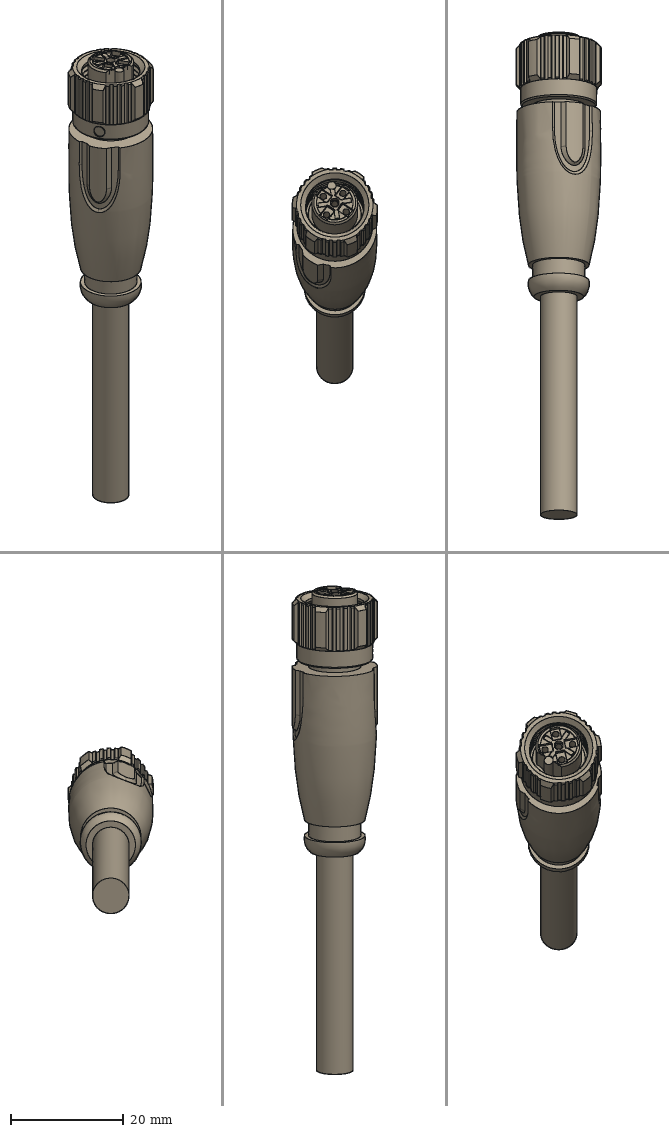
import cadquery as cq
import math

bead_bottom = 40.2
bead_top = 43.1
body_bottom = 46.0
body_widest = 67.7
body_shoulder = 54.0
body_top = 74.1
collar_bottom = 75.3
grip_bottom = 78.5
nut_top = 86.6
insert_top = 87.9

cable_radius = 6.5 / 2
bead_radius = 10.8 / 2
bead_end_radius = 4.4
bead_mid_angle = math.radians(45)
neck_radius = 9.3 / 2
body_radius = 15.0 / 2
body_top_radius = 7.5
body_shoulder_radius = 6.9
body_end_radius = 10.8 / 2

recess_half_width = 5.8
recess_arc_height = 69.4
recess_bottom = 60.6
recess_wall_taper = 60
recess_reach = 1.8
recess_floor_radius = body_radius - 0.4
panel_half_width = 2.3
panel_arc_height = 65.9
panel_bottom = 62.2
panel_radius = body_radius + 0.1
panel_side_taper = 43
panel_base_distance = math.sqrt(recess_floor_radius**2 - panel_half_width**2)

collar_radius = 13.5 / 2
collar_chamfer = 0.3
mark_diameter = 2.0
mark_height = (collar_bottom + grip_bottom) / 2
mark_depth = 0.3

pad_count = 6
pad_angle_step = 360 / pad_count
pad_radius = 15.2 / 2
pad_root_radius = 6.5
pad_top_half_width = 1.0
pad_root_half_width = 1.3
grip_chamfer = 0.8
ridge_radius = 7.0
groove_root_radius = 6.7
groove_top_half_width = 0.395
groove_root_half_width = 0.3
groove_angle_step = 11.25
grooves_per_gap = 5

socket_floor = 80.9
socket_radius = 5.2
socket_mouth_radius = 6.1
mouth_chamfer = 0.8
thread_depth = 0.35
thread_pitch = 1.0
thread_turns = 4
seal_outer_radius = 9.5 / 2

insert_radius = 8.2 / 2
insert_chamfer = 0.35
key_angle = -45
key_flat_distance = 3.2
key_peg_distance = 3.3
key_peg_diameter = 1.6
key_peg_drop = 0.35
seal_ring_radius = seal_outer_radius - insert_radius

face_recess_radius = 6.5 / 2
face_recess_depth = 0.3
web_width = 0.8
web_length = 6.0
web_hub_radius = 1.1
contact_count = 4
contact_circle_radius = 2.505
contact_hole_diameter = 1.1
contact_slot_width = 1.7
contact_slot_start = 1.1
contact_slot_end = 3.4
contact_slot_depth = 0.9
centre_mouth_diameter = 1.6
contact_hole_depth = 4.4


def disc(radius, bottom, top):
    return cq.Workplane("XY").workplane(offset=bottom).circle(radius).extrude(top - bottom)


def turned(outline):
    return outline.close().revolve(360, (0, 0), (0, 1))


def turned_body():
    """Cable, bead, both necks and the tapered body."""
    bead_mid_radius = bead_end_radius + (bead_radius - bead_end_radius) * math.cos(bead_mid_angle)
    bead_mid_height = bead_top - (bead_top - bead_bottom) * math.sin(bead_mid_angle)
    lower = turned(
        cq.Workplane("XZ")
        .lineTo(cable_radius, 0)
        .lineTo(cable_radius, bead_bottom)
        .lineTo(bead_end_radius, bead_bottom)
        .threePointArc((bead_mid_radius, bead_mid_height), (bead_radius, bead_top))
        .lineTo(neck_radius, bead_top)
        .lineTo(neck_radius, body_bottom)
        .lineTo(0, body_bottom)
    )
    body = turned(
        cq.Workplane("XZ")
        .moveTo(0, body_bottom)
        .lineTo(0, body_top)
        .lineTo(body_top_radius, body_top)
        .spline(
            [
                (body_radius, body_widest),
                (body_shoulder_radius, body_shoulder),
                (body_end_radius, body_bottom),
            ],
            includeCurrent=True,
        )
    )
    return lower.union(body).union(disc(neck_radius, body_top, collar_bottom))


def u_outline(distance, half_width, arc_height, bottom, top):
    """U-shaped outline with a half-elliptic lower end, in a plane at the given distance toward -Y."""
    return (
        cq.Workplane("XZ", origin=(0, -distance, 0))
        .moveTo(-half_width, top)
        .lineTo(-half_width, arc_height)
        .ellipseArc(half_width, arc_height - bottom, 180, 360, startAtCurrent=True)
        .lineTo(half_width, top)
        .close()
    )


def add_side_panels(body):
    recess = u_outline(
        panel_radius, recess_half_width, recess_arc_height, recess_bottom, body_top + recess_half_width
    ).extrude(-recess_reach, taper=recess_wall_taper)
    recess = recess.cut(disc(recess_floor_radius, body_bottom, body_top))
    panel_depth = panel_radius - panel_base_distance
    panel = u_outline(
        panel_base_distance, panel_half_width, panel_arc_height, panel_bottom, body_top + 2 * panel_depth
    ).extrude(panel_depth, taper=panel_side_taper)
    panel = panel.intersect(disc(panel_radius, body_bottom, body_top))
    for angle in (0, 180):
        body = body.cut(recess.rotate((0, 0, 0), (0, 0, 1), angle))
        body = body.union(panel.rotate((0, 0, 0), (0, 0, 1), angle))
    return body


def trapezoid_bar(inner_radius, inner_half_width, outer_radius, outer_half_width):
    """Bar along Z over the grip height, with a trapezoid section on the -Y side."""
    return (
        cq.Workplane("XY")
        .workplane(offset=grip_bottom)
        .moveTo(-inner_half_width, -inner_radius)
        .lineTo(-outer_half_width, -outer_radius)
        .lineTo(outer_half_width, -outer_radius)
        .lineTo(inner_half_width, -inner_radius)
        .close()
        .extrude(nut_top - grip_bottom)
    )


def grip():
    groove = trapezoid_bar(groove_root_radius, groove_root_half_width, ridge_radius, groove_top_half_width)
    pad = trapezoid_bar(pad_root_radius, pad_root_half_width, pad_radius, pad_top_half_width)
    body = disc(ridge_radius, grip_bottom, nut_top)
    for pad_index in range(pad_count):
        pad_angle = pad_index * pad_angle_step
        gap_angle = pad_angle + pad_angle_step / 2
        for groove_index in range(grooves_per_gap):
            offset = (groove_index - (grooves_per_gap - 1) / 2) * groove_angle_step
            body = body.cut(groove.rotate((0, 0, 0), (0, 0, 1), gap_angle + offset))
    for pad_index in range(pad_count):
        body = body.union(pad.rotate((0, 0, 0), (0, 0, 1), pad_index * pad_angle_step))
    envelope = disc(pad_radius, grip_bottom, nut_top).faces("<Z or >Z").chamfer(grip_chamfer)
    return body.intersect(envelope)


def collar():
    body = disc(collar_radius, collar_bottom, grip_bottom).faces("<Z").chamfer(collar_chamfer)
    mark = (
        cq.Workplane("XZ", origin=(0, -collar_radius + mark_depth, mark_height))
        .circle(mark_diameter / 2)
        .extrude(2 * mark_depth)
    )
    return body.cut(mark)


def socket():
    """Void of the nut: threaded bore with a conical mouth; the thread is a stack of V rings."""
    thread_start = nut_top - mouth_chamfer - (thread_turns + 0.5) * thread_pitch
    outline = (
        cq.Workplane("XZ")
        .moveTo(0, socket_floor)
        .lineTo(socket_radius, socket_floor)
        .lineTo(socket_radius, thread_start)
    )
    for turn in range(thread_turns):
        ring_bottom = thread_start + turn * thread_pitch
        outline = (
            outline.lineTo(socket_radius + thread_depth, ring_bottom + thread_pitch / 2)
            .lineTo(socket_radius, ring_bottom + thread_pitch)
        )
    return turned(
        outline.lineTo(socket_radius, nut_top - mouth_chamfer)
        .lineTo(socket_mouth_radius, nut_top)
        .lineTo(0, nut_top)
    )


def contact_insert():
    """Insert cylinder with a flat and a key peg at its coded corner."""
    body = disc(insert_radius, socket_floor, insert_top).faces(">Z").chamfer(insert_chamfer)
    height = insert_top - socket_floor
    flat_cut = (
        cq.Workplane("XY")
        .box(insert_radius, 2 * insert_radius, height, centered=(False, True, False))
        .translate((key_flat_distance, 0, socket_floor))
    )
    body = body.cut(flat_cut.rotate((0, 0, 0), (0, 0, 1), key_angle))
    peg_top = insert_top - key_peg_drop
    return cut_contacts(body).cut(key_peg(peg_top, insert_top)).union(key_peg(socket_floor, peg_top))


def key_peg(bottom, top):
    peg = disc(key_peg_diameter / 2, bottom, top).translate((key_peg_distance, 0, 0))
    return peg.rotate((0, 0, 0), (0, 0, 1), key_angle)


def cut_contacts(body):
    """Sink the face around an X-shaped web and pierce the contact slots and holes."""
    recess_floor = insert_top - face_recess_depth
    web = disc(web_hub_radius, recess_floor, insert_top)
    for angle in (45, 135):
        arm = cq.Workplane("XY").box(web_length, web_width, face_recess_depth, centered=(True, True, False))
        web = web.union(arm.translate((0, 0, recess_floor)).rotate((0, 0, 0), (0, 0, 1), angle))
    body = body.cut(disc(face_recess_radius, recess_floor, insert_top).cut(web))

    slot_length = contact_slot_end - contact_slot_start
    slot = (
        cq.Workplane("XY")
        .box(slot_length, contact_slot_width, contact_slot_depth, centered=(False, True, False))
        .translate((contact_slot_start, 0, insert_top - contact_slot_depth))
    )
    hole_bottom = insert_top - contact_hole_depth
    hole = disc(contact_hole_diameter / 2, hole_bottom, insert_top).translate((contact_circle_radius, 0, 0))
    contact = slot.union(hole)
    for index in range(contact_count):
        body = body.cut(contact.rotate((0, 0, 0), (0, 0, 1), index * 360 / contact_count))
    centre_mouth = disc(centre_mouth_diameter / 2, insert_top - contact_slot_depth, insert_top)
    return body.cut(centre_mouth).cut(disc(contact_hole_diameter / 2, hole_bottom, insert_top))


def seal_ring():
    """Sealing ring lying on the socket floor around the insert."""
    return cq.Workplane("XY").add(
        cq.Solid.makeTorus(
            insert_radius, seal_ring_radius, cq.Vector(0, 0, socket_floor + seal_ring_radius / 2)
        )
    )


nut = collar().union(grip()).cut(socket())
result = (
    add_side_panels(turned_body())
    .union(nut)
    .union(seal_ring())
    .union(contact_insert())
)